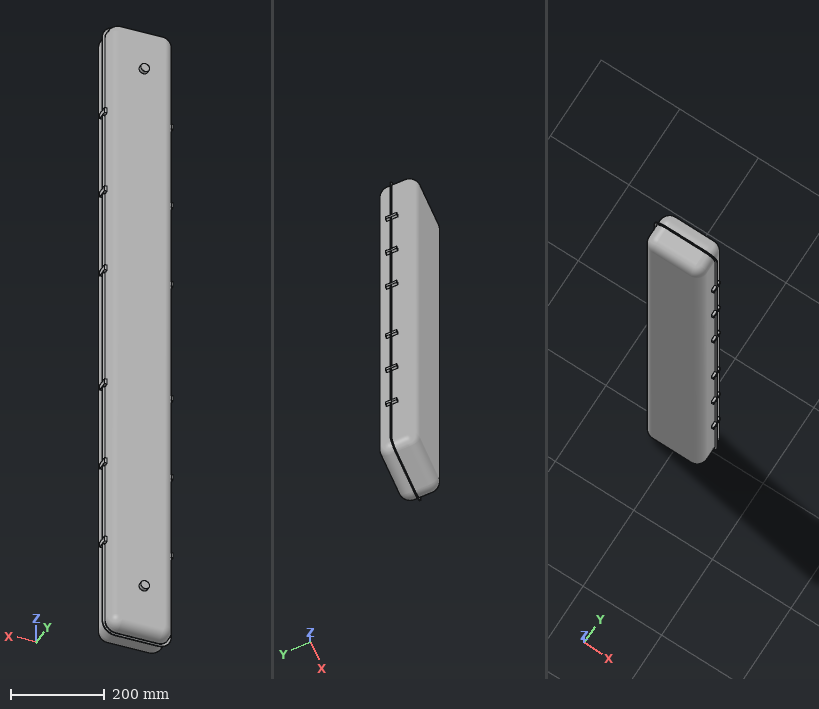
import cadquery as cq

LENGTH = 1587.0
WIDTH = 160.0
DEPTH = 102.0

RIM_OVERHANG = 6.0
SEAL_THICKNESS = 2.4
SEAL_CORNER_RADIUS = 30.0

KNOB_HEIGHT = 9.2
SHELL_WIDTH = WIDTH - 2 * RIM_OVERHANG
SHELL_LENGTH = LENGTH - 2 * RIM_OVERHANG
SHELL_FILLET = 25.0
HOUSING_DEPTH = 35.0

COVER_FACE_Y = -DEPTH / 2
HOUSING_FACE_Y = DEPTH / 2 - KNOB_HEIGHT
SEAL_BACK_Y = HOUSING_FACE_Y - HOUSING_DEPTH
SEAL_FRONT_Y = SEAL_BACK_Y - SEAL_THICKNESS

KNOB_DIAMETER = 20.0
KNOB_Z = 676.0

LATCH_LENGTH = 13.0
LATCH_BACK_REACH = 10.3
LATCH_FRONT_REACH = 13.5
LATCH_BACK_Y = SEAL_BACK_Y + LATCH_BACK_REACH
LATCH_FRONT_Y = SEAL_FRONT_Y - LATCH_FRONT_REACH
LATCH_CENTRE_Z = 5.0
LATCH_DISTANCES = (149.0, 355.0, 560.0)


def block(width, length, front_y, back_y):
    """Box centred in X and Z that spans front_y to back_y."""
    depth = back_y - front_y
    return cq.Workplane("XY").box(width, depth, length).translate((0, front_y + depth / 2, 0))


def round_shell(shell, outer_face):
    """Round the four depth-wise corners, then the rim of the outer face."""
    return shell.edges("|Y").fillet(SHELL_FILLET).faces(outer_face).edges().fillet(SHELL_FILLET)


def make_cover():
    shell = block(SHELL_WIDTH, SHELL_LENGTH, COVER_FACE_Y, SEAL_FRONT_Y)
    return round_shell(shell, "<Y")


def make_housing():
    shell = block(SHELL_WIDTH, SHELL_LENGTH, SEAL_BACK_Y, HOUSING_FACE_Y)
    shell = round_shell(shell, ">Y")
    for z in (-KNOB_Z, KNOB_Z):
        knob = (
            cq.Workplane("XZ", origin=(0, HOUSING_FACE_Y, z))
            .circle(KNOB_DIAMETER / 2)
            .extrude(-KNOB_HEIGHT)
        )
        shell = shell.union(knob)
    return shell


def make_seal():
    plate = block(WIDTH, LENGTH, SEAL_FRONT_Y, SEAL_BACK_Y).edges("|Y").fillet(SEAL_CORNER_RADIUS)
    latch = block(RIM_OVERHANG, LATCH_LENGTH, LATCH_FRONT_Y, LATCH_BACK_Y)
    latch_x = (WIDTH - RIM_OVERHANG) / 2
    for side in (-1, 1):
        for distance in LATCH_DISTANCES:
            for end in (-1, 1):
                latch_z = LATCH_CENTRE_Z + end * distance
                plate = plate.union(latch.translate((side * latch_x, 0, latch_z)))
    return plate


cover = make_cover()
housing = make_housing()
seal = make_seal()
result = cq.Compound.makeCompound([cover.val(), housing.val(), seal.val()])